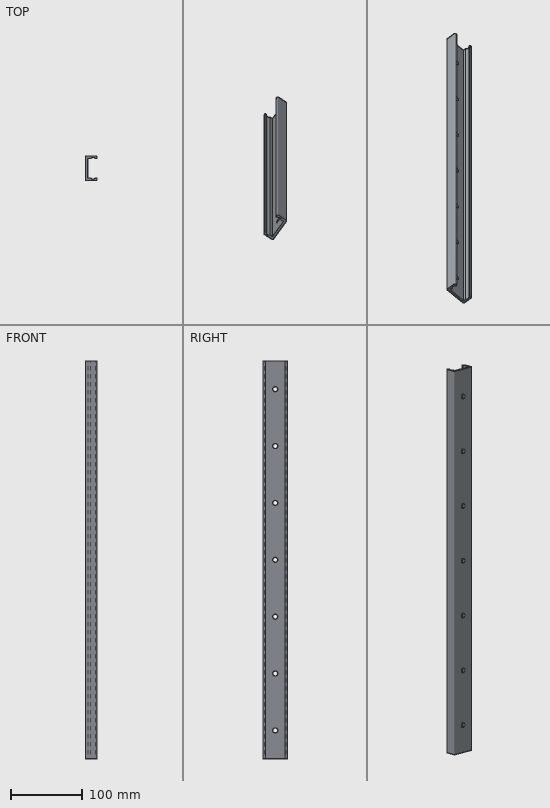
import cadquery as cq

length = 560.0
width = 35.0
depth = 16.0

web_thickness = 3.5
flange_thickness = 4.0
shoulder_width = 4.0
lip_width = 2.0
groove_depth = 1.5
back_radius = 1.0
lip_radius = 1.5

hole_diameter = 7.0
hole_count = 7
hole_pitch = length / hole_count

back = -depth / 2
front = depth / 2
side = width / 2


def half_channel():
    """The +Y half of the C-shaped channel, open towards +X and running along Z."""
    web_wall = back + web_thickness
    flange_wall = side - flange_thickness
    groove_back = web_wall + shoulder_width
    groove_front = front - lip_width
    groove_middle = (groove_back + groove_front) / 2
    groove_floor = flange_wall + groove_depth
    half = (
        cq.Workplane("XY")
        .moveTo(back, 0)
        .lineTo(back, side)
        .lineTo(front, side)
        .lineTo(front, flange_wall)
        .lineTo(groove_front, flange_wall)
        .threePointArc((groove_middle, groove_floor), (groove_back, flange_wall))
        .lineTo(web_wall, flange_wall)
        .lineTo(web_wall, 0)
        .close()
        .extrude(length)
    )
    half = half.faces(">Y").edges("<X").fillet(back_radius)
    return half.faces(">Y").edges(">X").fillet(lip_radius)


def mounting_holes():
    """Evenly pitched holes along the web, half a pitch in from each end."""
    heights = [(index + 0.5) * hole_pitch for index in range(hole_count)]
    return (
        cq.Workplane("YZ", origin=(back, 0, 0))
        .pushPoints([(0, height) for height in heights])
        .circle(hole_diameter / 2)
        .extrude(web_thickness)
    )


half = half_channel()
channel = half.union(half.mirror("XZ"))
result = channel.cut(mounting_holes())